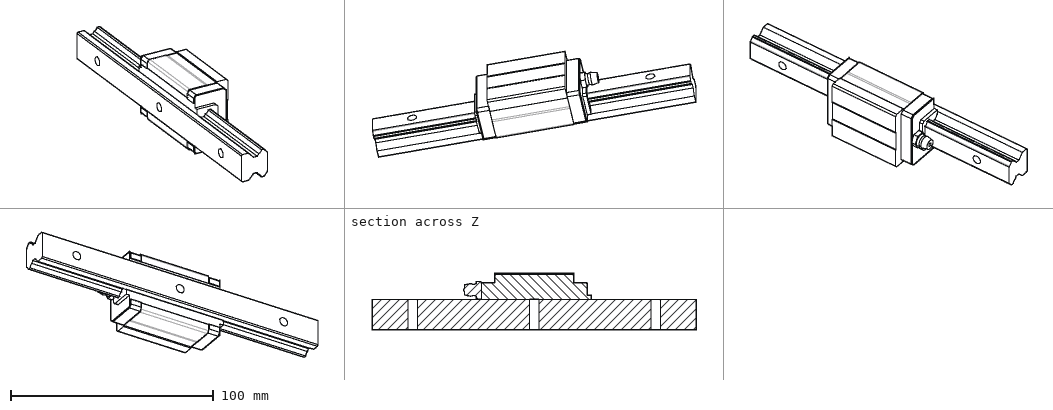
import cadquery as cq
import math


rail_length = 160.0
rail_height = 15.0
rail_half_width = rail_height / 2
rail_top_half_width = 5.3
rail_top_bevel = 0.3
rail_base_chamfer = 0.6
crest_top_height = 12.8
crest_bottom_height = 11.5
upper_groove_mid = (14.0, 6.2)
upper_groove_end = (13.3, 7.4)
lower_groove_mid = (10.9, 6.2)
lower_groove_end = (10.0, 5.8)
waist_half_width = 4.5
waist_top_height = 9.1
waist_bottom_height = 7.0
foot_height = 4.2
hole_diameter = 4.5
hole_pitch = 60.0
hole_count = 3

block_length = 39.2
block_top = 28.0
block_half_width = 17.0
block_top_chamfer = 1.0
shoulder_height = 21.6
shoulder_drop = 0.3
upper_flank_half_width = 16.5
lower_flank_half_width = 16.6
flank_step_top = 16.2
flank_step_bottom = 15.2
block_bottom = 5.0
block_bottom_radius = 1.1
top_recess_width = 10.9
top_recess_depth = 0.5

cap_end = 26.2
cap_top = 23.4
cap_bottom = 4.5
cap_half_width = 16.2
cap_corner = (1.6, 1.5)
cap_pad_thickness = 0.3
cap_pad_inset = 0.24

strip_half_width = 11.8
underside_height = 5.1
seal_end = 28.2
seal_top = 17.1
seal_half_width = 9.5
seal_chamfer = 1.1

nipple_height = 19.7
hex_across_flats = 7.4
hex_thickness = 2.4
collar_radius = 3.2
collar_length = 1.3
neck_radius = 2.7
head_radius = 3.2
head_cone_length = 1.5
head_length = 3.2
tip_radius = 2.5
ball_rim_radius = 1.0
ball_rise = 0.3


def box_between(low, high):
    """Box that spans two opposite corners, each given as (x, y, z)."""
    sizes = [high[i] - low[i] for i in range(3)]
    return cq.Workplane("XY").box(*sizes, centered=False).translate(low)


def symmetric_prism(half_outline, half_length):
    """Extrude (height, half width) points, mirrored about Z = 0, centred along X."""
    mirrored = [(height, -width) for height, width in reversed(half_outline)]
    outline = cq.Workplane("YZ").polyline(half_outline + mirrored).close()
    return outline.extrude(half_length, both=True)


def rail_blank():
    """Full-length rail section, without its screw holes."""
    half_length = rail_length / 2

    def flipped(point):
        return (point[0], -point[1])

    shoulder = (rail_height - rail_top_bevel, rail_top_half_width + rail_top_bevel)
    crest_top = (crest_top_height, rail_half_width)
    crest_bottom = (crest_bottom_height, rail_half_width)
    lower_points = [
        (waist_top_height, waist_half_width),
        (waist_bottom_height, waist_half_width),
        (foot_height, rail_half_width),
        (rail_base_chamfer, rail_half_width),
        (0, rail_half_width - rail_base_chamfer),
    ]
    outline = (
        cq.Workplane("YZ")
        .moveTo(rail_height, rail_top_half_width)
        .lineTo(*shoulder)
        .threePointArc(upper_groove_mid, upper_groove_end)
        .lineTo(*crest_top)
        .lineTo(*crest_bottom)
        .threePointArc(lower_groove_mid, lower_groove_end)
        .polyline(lower_points, includeCurrent=True)
        .polyline([flipped(p) for p in reversed(lower_points)], includeCurrent=True)
        .lineTo(*flipped(lower_groove_end))
        .threePointArc(flipped(lower_groove_mid), flipped(crest_bottom))
        .lineTo(*flipped(crest_top))
        .lineTo(*flipped(upper_groove_end))
        .threePointArc(flipped(upper_groove_mid), flipped(shoulder))
        .lineTo(rail_height, -rail_top_half_width)
        .close()
    )
    return outline.extrude(half_length, both=True)


def make_rail():
    rail = rail_blank()
    for i in range(hole_count):
        x = (i - (hole_count - 1) / 2) * hole_pitch
        hole = cq.Workplane("XZ").center(x, 0).circle(hole_diameter / 2).extrude(-rail_height)
        rail = rail.cut(hole)
    return rail


def carriage_block():
    """Central block with stepped flanks and a shallow recess along its mounting face."""
    half_length = block_length / 2
    block = symmetric_prism(
        [
            (block_top, block_half_width - block_top_chamfer),
            (block_top - block_top_chamfer, block_half_width),
            (shoulder_height, block_half_width),
            (shoulder_height - shoulder_drop, upper_flank_half_width),
            (flank_step_top, upper_flank_half_width),
            (flank_step_bottom, lower_flank_half_width),
            (block_bottom, lower_flank_half_width),
        ],
        half_length,
    )
    block = block.faces("<Y").edges("|X").fillet(block_bottom_radius)
    recess = box_between(
        (-half_length, block_top - top_recess_depth, -top_recess_width / 2),
        (half_length, block_top, top_recess_width / 2),
    )
    return block.cut(recess)


def end_caps():
    """Both end caps, bevelled at their outer ends, each with a thin pad on its outer face."""
    drop, inset = cap_corner
    body_end = cap_end - cap_pad_thickness
    bodies = symmetric_prism(
        [
            (cap_top, cap_half_width - inset),
            (cap_top - drop, cap_half_width),
            (cap_bottom + drop, cap_half_width),
            (cap_bottom, cap_half_width - inset),
        ],
        body_end,
    )
    bodies = bodies.faces("<X or >X").chamfer(cap_pad_inset)
    pad_top = cap_top - cap_pad_inset
    pad_half_width = cap_half_width - cap_pad_inset
    pads = symmetric_prism(
        [
            (pad_top, pad_half_width - inset),
            (pad_top - drop, pad_half_width),
            (underside_height, pad_half_width),
        ],
        cap_end,
    )
    between_pads = box_between(
        (-body_end, cap_bottom, -cap_half_width),
        (body_end, cap_top, cap_half_width),
    )
    below_block = box_between(
        (-block_length / 2, cap_bottom, -cap_half_width),
        (block_length / 2, block_bottom + block_bottom_radius, cap_half_width),
    )
    return bodies.cut(below_block).union(pads.cut(between_pads))


def end_seals():
    """Both end seals, as one bar with chamfered top edges."""
    return symmetric_prism(
        [
            (seal_top, seal_half_width - seal_chamfer),
            (seal_top - seal_chamfer, seal_half_width),
            (underside_height, seal_half_width),
        ],
        seal_end,
    )


def hexagon_of_nipple():
    """Hexagon against the -X cap, with two corners pointing up and down."""
    return (
        cq.Workplane("YZ", origin=(-cap_end, nipple_height, 0))
        .polygon(6, hex_across_flats / math.cos(math.pi / 6))
        .extrude(-hex_thickness)
    )


def make_carriage():
    underside_strip = box_between(
        (-cap_end, cap_bottom, -strip_half_width),
        (cap_end, underside_height, strip_half_width),
    )
    carriage = carriage_block().union(end_caps()).union(end_seals())
    return carriage.cut(underside_strip).cut(rail_blank()).cut(hexagon_of_nipple())


def make_nipple():
    """Hexagon, collar and head turned about an axis along X, with a domed ball at the tip."""
    collar_start = hex_thickness
    collar_end = collar_start + collar_length
    cone_end = collar_end + head_cone_length
    tip = cone_end + head_length
    ball_radius = (ball_rim_radius**2 + ball_rise**2) / (2 * ball_rise)
    turned = (
        cq.Workplane("XY", origin=(-cap_end, nipple_height, 0))
        .lineTo(0, collar_radius)
        .lineTo(-collar_start, collar_radius)
        .lineTo(-collar_end, neck_radius)
        .lineTo(-cone_end, head_radius)
        .lineTo(-tip, tip_radius)
        .lineTo(-tip, ball_rim_radius)
        .radiusArc((-(tip + ball_rise), 0), -ball_radius)
        .close()
        .revolve(360, (0, 0, 0), (1, 0, 0))
    )
    return hexagon_of_nipple().union(turned)


rail = make_rail()
carriage = make_carriage()
nipple = make_nipple()

result = cq.Compound.makeCompound([rail.val(), carriage.val(), nipple.val()])